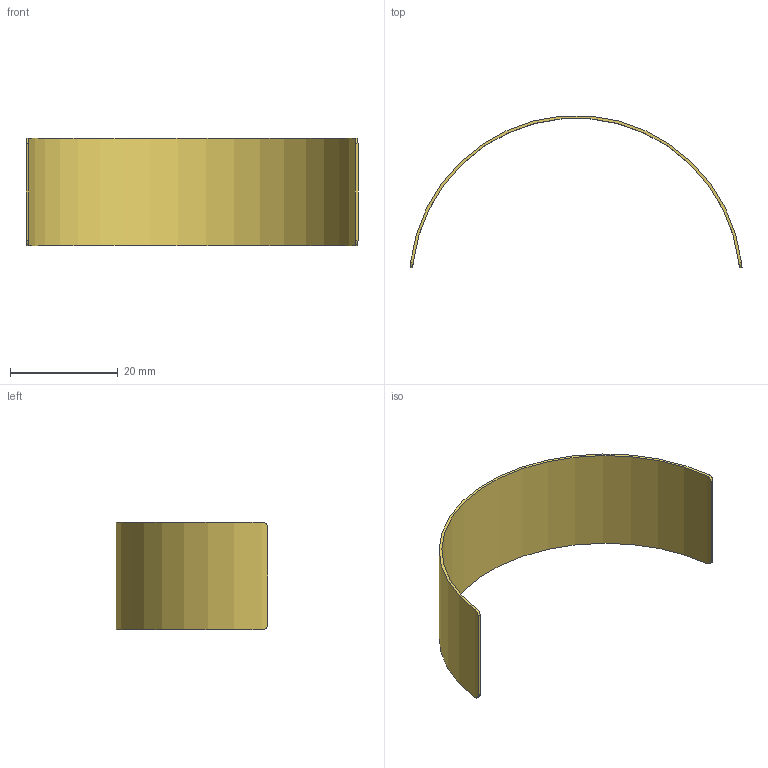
import cadquery as cq
import math

OUTER_RADIUS = 31.0
THICKNESS = 0.5
HEIGHT = 20.0
SPAN_ANGLE = 170.0
CORNER_RADIUS = 1.0

INNER_RADIUS = OUTER_RADIUS - THICKNESS
START_ANGLE = (180.0 - SPAN_ANGLE) / 2
END_ANGLE = START_ANGLE + SPAN_ANGLE
CREST_ANGLE = 90.0


def polar(radius, angle):
    """Point at a radius and an angle in degrees about the band axis."""
    radians = math.radians(angle)
    return (radius * math.cos(radians), radius * math.sin(radians))


def curved_band():
    """Thin arc band with radial end faces, standing on the XY plane."""
    return (
        cq.Workplane("XY")
        .moveTo(*polar(OUTER_RADIUS, START_ANGLE))
        .threePointArc(polar(OUTER_RADIUS, CREST_ANGLE), polar(OUTER_RADIUS, END_ANGLE))
        .lineTo(*polar(INNER_RADIUS, END_ANGLE))
        .threePointArc(polar(INNER_RADIUS, CREST_ANGLE), polar(INNER_RADIUS, START_ANGLE))
        .close()
        .extrude(HEIGHT)
    )


def round_end_corners(band):
    """Round the four corners of the band, along the short straight edges of its end faces."""
    return band.edges("%LINE and (not |Z)").fillet(CORNER_RADIUS)


result = round_end_corners(curved_band())